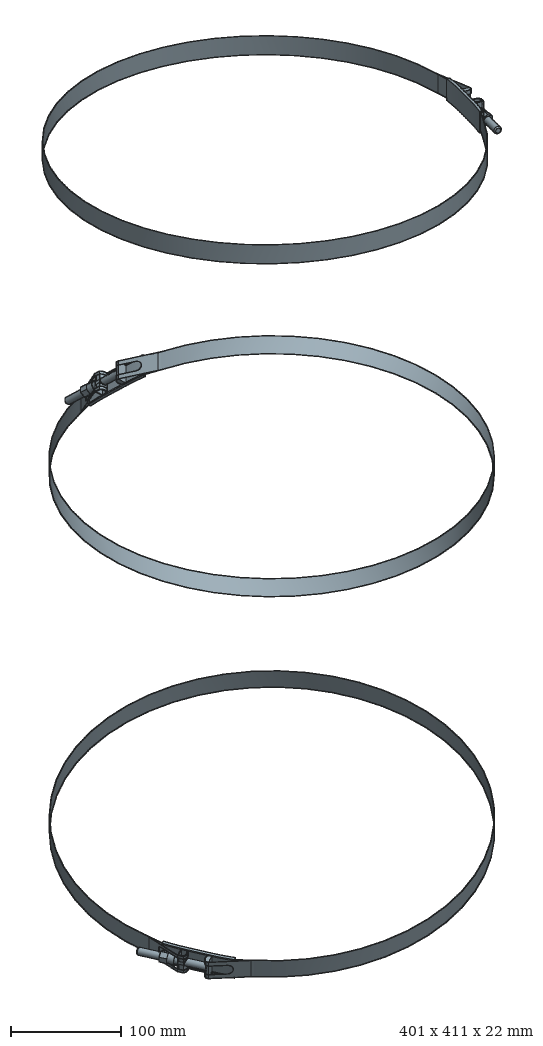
import cadquery as cq
import math

BAND_RADIUS = 200.5
BAND_THICKNESS = 0.6
BAND_WIDTH = 19.5

SEAT_TOP = 200.0
SEAT_FLAT_REACH = 12.5
SEAT_REACH = 34.5

TAIL_REACH = 51.0
TAIL_FOOT_Y = math.sqrt(BAND_RADIUS**2 - TAIL_REACH**2)
LEFT_SLOT_END = 33.5
LEFT_SLOT_WIDTH = 10.3
RIGHT_SLOT_END = 41.0
RIGHT_SLOT_WIDTH = 13.0

TRUNNION_HEIGHT = 9.5
TRUNNION_BOTTOM = SEAT_TOP
TRUNNION_TOP = TRUNNION_BOTTOM + TRUNNION_HEIGHT
TRUNNION_APEX = 8.5
TRUNNION_BULGE = 2.0
TRUNNION_SHOULDER = TRUNNION_APEX + TRUNNION_BULGE
TRUNNION_MIDDLE = (TRUNNION_BOTTOM + TRUNNION_TOP) / 2
LEFT_TRUNNION_BACK = 13.0
RIGHT_TRUNNION_BACK = 16.5
RIGHT_TRUNNION_WALL = 1.0

SCREW_DIAMETER = 7.5
SCREW_Y = 205.5
SCREW_START = -10.5
SCREW_END = 56.5
SCREW_CHAMFER = 1.2

NUT_ACROSS_FLATS = 10.0
NECK_DIAMETER = 8.5
NECK_START = RIGHT_TRUNNION_BACK
COLLAR_START = 20.0
HEX_START = 26.7
NUT_END = 34.0

LINER_REACH = SEAT_REACH
LINER_WIDTH = 22.0
LINER_BASE = 1.2
LIP_RISE = 1.2


def seat_height(x):
    """Y of the outer face of the curved part of the seat at |X| = x."""
    return SEAT_TOP - BAND_RADIUS + math.sqrt(BAND_RADIUS**2 - (x - SEAT_FLAT_REACH) ** 2)


def clamp_prism(offset, height):
    """The area inside the closed outer line of the band, grown by offset and centred on Z."""
    seat_end = seat_height(SEAT_REACH)
    bend_x = (SEAT_FLAT_REACH + SEAT_REACH) / 2
    bend_y = seat_height(bend_x)
    outline = (
        cq.Workplane("XY")
        .moveTo(-SEAT_FLAT_REACH, SEAT_TOP)
        .lineTo(SEAT_FLAT_REACH, SEAT_TOP)
        .threePointArc((bend_x, bend_y), (SEAT_REACH, seat_end))
        .lineTo(TAIL_REACH, TAIL_FOOT_Y)
        .threePointArc((0, -BAND_RADIUS), (-TAIL_REACH, TAIL_FOOT_Y))
        .lineTo(-SEAT_REACH, seat_end)
        .threePointArc((-bend_x, bend_y), (-SEAT_FLAT_REACH, SEAT_TOP))
        .close()
    )
    if offset:
        outline = outline.offset2D(offset)
    return outline.extrude(height / 2, both=True)


def d_outline(side, back):
    """The closed D of a trunnion; side is -1 for the left one and +1 for the right one."""
    return (
        cq.Workplane("XY")
        .moveTo(side * back, TRUNNION_BOTTOM)
        .lineTo(side * TRUNNION_SHOULDER, TRUNNION_BOTTOM)
        .threePointArc((side * TRUNNION_APEX, TRUNNION_MIDDLE), (side * TRUNNION_SHOULDER, TRUNNION_TOP))
        .lineTo(side * back, TRUNNION_TOP)
        .close()
    )


def d_bar(side, back, height, offset=0.0):
    """A D-shaped bar centred on Z, its outline grown by offset."""
    outline = d_outline(side, back)
    if offset:
        outline = outline.offset2D(offset)
    return outline.extrude(height / 2, both=True)


def x_cylinder(diameter, start, end):
    """A cylinder on the screw axis."""
    return (
        cq.Workplane("YZ", origin=(start, SCREW_Y, 0))
        .circle(diameter / 2)
        .extrude(end - start)
    )


def band_loop(side, back):
    """The strip wrapped around the bottom, round side and top of a trunnion."""
    wrap = d_bar(side, back, BAND_WIDTH, BAND_THICKNESS)
    wrap = wrap.cut(d_bar(side, back, BAND_WIDTH))
    beyond = cq.Workplane("XY").box(2 * back, 2 * TRUNNION_HEIGHT, BAND_WIDTH)
    return wrap.cut(beyond.translate((side * 2 * back, TRUNNION_MIDDLE, 0)))


def band_tail(side, back):
    """The straight tail from the top of a trunnion down to the ring, thinning at its foot."""
    return (
        cq.Workplane("XY")
        .moveTo(side * back, TRUNNION_TOP)
        .lineTo(side * back, TRUNNION_TOP + BAND_THICKNESS)
        .lineTo(side * TAIL_REACH, TAIL_FOOT_Y)
        .lineTo(side * TAIL_REACH, TAIL_FOOT_Y - BAND_THICKNESS / 2)
        .close()
        .extrude(BAND_WIDTH / 2, both=True)
    )


def tail_slot(side, end, width):
    """The cutter for the slot that lets the screw through a loop and its tail."""
    straight = end - width / 2
    profile = (
        cq.Workplane("XZ", origin=(0, TRUNNION_BOTTOM, 0))
        .moveTo(0, -width / 2)
        .lineTo(side * straight, -width / 2)
        .threePointArc((side * end, 0), (side * straight, width / 2))
        .lineTo(0, width / 2)
        .close()
    )
    return profile.extrude(-2 * TRUNNION_HEIGHT)


def make_band():
    """An open ring whose two ends loop around the trunnions."""
    gap = cq.Workplane("XY").box(2 * TRUNNION_SHOULDER, BAND_RADIUS, BAND_WIDTH)
    band = clamp_prism(0, BAND_WIDTH).cut(clamp_prism(-BAND_THICKNESS, BAND_WIDTH))
    band = band.cut(gap.translate((0, BAND_RADIUS, 0)))
    ends = (
        (-1, LEFT_TRUNNION_BACK, LEFT_SLOT_END, LEFT_SLOT_WIDTH),
        (1, RIGHT_TRUNNION_BACK, RIGHT_SLOT_END, RIGHT_SLOT_WIDTH),
    )
    for side, back, slot_end, slot_width in ends:
        end = band_loop(side, back).union(band_tail(side, back))
        band = band.union(end.cut(tail_slot(side, slot_end, slot_width)))
    return band


def make_liner():
    """A base inside the band and a lip along each edge, with the band lying between the lips."""
    channel = clamp_prism(LIP_RISE, LINER_WIDTH)
    channel = channel.cut(clamp_prism(-BAND_THICKNESS - LINER_BASE, LINER_WIDTH))
    bed = clamp_prism(LIP_RISE, BAND_WIDTH).cut(clamp_prism(-BAND_THICKNESS, BAND_WIDTH))
    channel = channel.cut(bed)
    reach = cq.Workplane("XY").box(2 * LINER_REACH, BAND_RADIUS, LINER_WIDTH)
    return channel.intersect(reach.translate((0, BAND_RADIUS, 0)))


def make_screw():
    return x_cylinder(SCREW_DIAMETER, SCREW_START, SCREW_END).faces(">X").chamfer(SCREW_CHAMFER)


def make_left_trunnion():
    bar = d_bar(-1, LEFT_TRUNNION_BACK, BAND_WIDTH)
    return bar.cut(x_cylinder(SCREW_DIAMETER, SCREW_START, 0))


def make_right_trunnion():
    """A hollow D bar, open at both ends, with holes for the screw."""
    bar = d_bar(1, RIGHT_TRUNNION_BACK, BAND_WIDTH)
    bar = bar.cut(d_bar(1, RIGHT_TRUNNION_BACK, BAND_WIDTH, -RIGHT_TRUNNION_WALL))
    return bar.cut(x_cylinder(SCREW_DIAMETER, 0, SCREW_END))


def make_nut():
    """Neck, collar and hexagon; the hexagon has flats facing +Y and -Y."""
    neck = x_cylinder(NECK_DIAMETER, NECK_START, COLLAR_START)
    collar = x_cylinder(NUT_ACROSS_FLATS, COLLAR_START, HEX_START)
    hexagon = (
        cq.Workplane("YZ", origin=(HEX_START, SCREW_Y, 0))
        .polygon(6, NUT_ACROSS_FLATS, circumscribed=True)
        .extrude(NUT_END - HEX_START)
    )
    return neck.union(collar).union(hexagon).cut(x_cylinder(SCREW_DIAMETER, 0, SCREW_END))


band = make_band()
liner = make_liner()
left_trunnion = make_left_trunnion()
right_trunnion = make_right_trunnion()
screw = make_screw()
nut = make_nut()

result = cq.Compound.makeCompound(
    [
        band.val(),
        liner.val(),
        left_trunnion.val(),
        right_trunnion.val(),
        screw.val(),
        nut.val(),
    ]
)